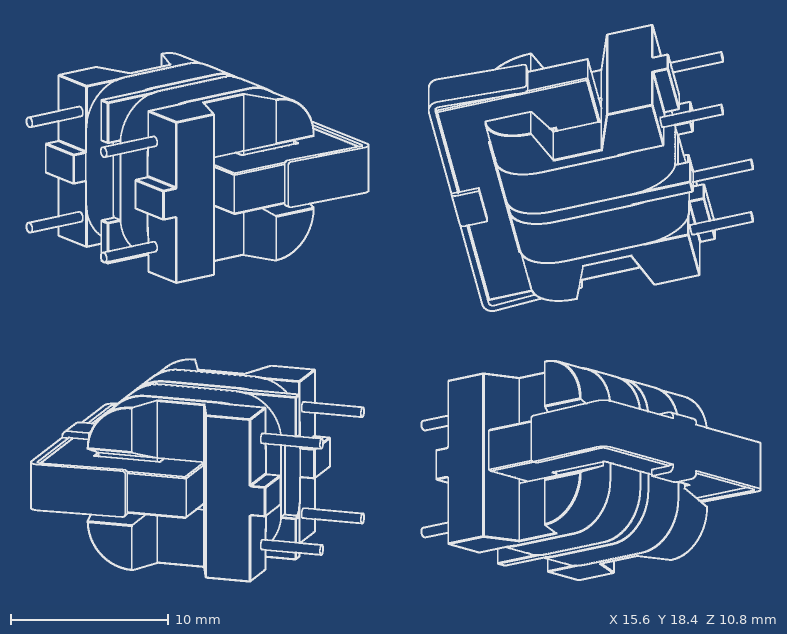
import cadquery as cq
import math


flange_half_height = 5.37
flange_half_depth = 5.52
flange_radius = 2.97
flange_inner_x = 3.3
flange_outer_x = 3.97
divider_half_width = 0.39

bore_half = 1.57
tube_wall = 0.3
tube_half = bore_half + tube_wall

wing_outer_x = 6.18
block_outer_x = 6.37
flare_end_y = 2.5
wing_mouth_half = 2.4
bobbin_chamfer = 0.05

foot_tip_y = -6.53
block_foot_half_height = 0.98
divider_foot_start_z = 2.64
pin_diameter = 0.65
pin_tip_y = -9.5
pin_x = 4.0
pin_z = 3.5

winding_half_height = 5.42
winding_radius = 3.03
winding_half_depth = 5.55

core_half_width = 7.07
core_half_height = 1.37
core_front_y = -1.44
core_back_y = 8.52
window_half_width = 4.02
window_front_y = 1.44
window_back_y = 5.68
core_chamfer = 0.1

clip_thickness = 0.42
clip_half_height = 1.51
clip_back_y = core_back_y + clip_thickness
clip_end_y = 2.49
clip_lean = math.tan(math.radians(2.9))
clip_bend_radius = 0.66
clip_gap = 0.04
arm_thickness = 0.39
arm_corner_radius = 0.22
arm_inner_x = core_half_width + clip_gap
tab_half_width = 1.13
tab_start_z = 1.55
tab_top_z = 1.97
tab_bend_radius = 0.39
tab_end_y = 7.14


def box(x_range, y_range, z_range):
    """Box spanning three (low, high) ranges."""
    lengths = [high - low for low, high in (x_range, y_range, z_range)]
    corner = (x_range[0], y_range[0], z_range[0])
    return cq.Workplane("XY").box(*lengths, centered=False).translate(corner)


def centred_bar(x_low, x_high, half_y, half_z):
    """Bar along X, centred on the winding axis."""
    return box((x_low, x_high), (-half_y, half_y), (-half_z, half_z))


def mirrored_pair(body):
    """Body together with its mirror image across the YZ plane."""
    return body.union(body.mirror("YZ"))



def make_plate(x_low, x_high):
    """Flange plate across the winding axis with four rounded corners."""
    plate = centred_bar(x_low, x_high, flange_half_depth, flange_half_height)
    return plate.edges("|X").fillet(flange_radius)


def make_pin_block():
    """Front block at +X that carries two pins, with a foot between them."""
    outline = [
        (flange_inner_x, -flange_half_depth),
        (block_outer_x, -flange_half_depth),
        (block_outer_x, -flare_end_y),
        (flange_outer_x, -bore_half),
        (flange_inner_x, -bore_half),
    ]
    block = cq.Workplane("XY").polyline(outline).close().extrude(flange_half_height, both=True)
    foot = box(
        (flange_inner_x, block_outer_x),
        (foot_tip_y, -flare_end_y),
        (-block_foot_half_height, block_foot_half_height),
    )
    return block.union(foot, clean=True).edges().chamfer(bobbin_chamfer)


def make_wing():
    """Rear wing at +X, rounded along its back and open in the middle for the core leg."""
    outline = [
        (flange_inner_x, bore_half),
        (flange_outer_x, bore_half),
        (wing_outer_x, flare_end_y),
        (wing_outer_x, flange_half_depth),
        (flange_inner_x, flange_half_depth),
    ]
    wing = cq.Workplane("XY").polyline(outline).close().extrude(flange_half_height, both=True)
    wing = wing.edges(">Y and |X").fillet(flange_radius)
    wing = wing.cut(make_wing_mouth())
    return wing.faces(">X").edges("not <Y").chamfer(bobbin_chamfer)


def make_end_frame():
    """End frame at +X: flange plate with its outer rim broken, pin block and wing."""
    plate = make_plate(flange_inner_x, flange_outer_x)
    plate = plate.faces(">X").edges().chamfer(bobbin_chamfer)
    return plate.union(make_pin_block()).union(make_wing())


def make_wing_mouth():
    """Passage for the core leg, flaring from the bore height at the flange to the wing end."""
    mouth = [
        (flange_outer_x, -bore_half),
        (wing_outer_x, -wing_mouth_half),
        (wing_outer_x, wing_mouth_half),
        (flange_outer_x, bore_half),
    ]
    return cq.Workplane("XZ").polyline(mouth).close().extrude(-2 * flange_half_depth)


def make_divider():
    """Middle flange that parts the windings, with a foot at its top and bottom."""
    foot = box(
        (-divider_half_width, divider_half_width),
        (foot_tip_y, 0),
        (divider_foot_start_z, flange_half_height),
    )
    foot = foot.edges().chamfer(bobbin_chamfer)
    plate = make_plate(-divider_half_width, divider_half_width)
    return plate.union(foot).union(foot.mirror("XY"))


def make_pins():
    """Four round pins standing out of the front of the pin blocks."""
    pin_places = [(x, z) for x in (-pin_x, pin_x) for z in (-pin_z, pin_z)]
    return (
        cq.Workplane("XZ", origin=(0, -flange_half_depth, 0))
        .pushPoints(pin_places)
        .circle(pin_diameter / 2)
        .extrude(-pin_tip_y - flange_half_depth)
    )


def make_bobbin():
    """Two end frames, tube and divider in one piece, bored for the core limb, with pins."""
    tube = centred_bar(-flange_inner_x, flange_inner_x, tube_half, tube_half)
    bore = centred_bar(-flange_outer_x, flange_outer_x, bore_half, bore_half)
    bobbin = mirrored_pair(make_end_frame()).union(tube).union(make_divider())
    return bobbin.cut(bore).union(make_pins())



def make_winding(side):
    """Winding between the divider and one end flange; side is -1 or 1."""
    x_low, x_high = sorted((side * divider_half_width, side * flange_inner_x))
    coil = centred_bar(x_low, x_high, winding_half_depth, winding_half_height)
    coil = coil.edges("|X").fillet(winding_radius)
    return coil.cut(centred_bar(x_low, x_high, tube_half, tube_half))



def make_core():
    """Closed rectangular ring whose front limb runs through the bobbin."""
    z_range = (-core_half_height, core_half_height)
    ring = box((-core_half_width, core_half_width), (core_front_y, core_back_y), z_range)
    window = box((-window_half_width, window_half_width), (window_front_y, window_back_y), z_range)
    ring = ring.cut(window)
    return ring.edges("|X or |Y").chamfer(core_chamfer)



def make_clip_prism(end_half_width, back_y, bend_radius):
    """Prism filling the clip outline: arms spreading toward the back, with round back corners."""
    back_half_width = end_half_width + (back_y - clip_end_y) * clip_lean
    outline = [
        (-end_half_width, clip_end_y),
        (end_half_width, clip_end_y),
        (back_half_width, back_y),
        (-back_half_width, back_y),
    ]
    prism = cq.Workplane("XY").polyline(outline).close().extrude(clip_half_height, both=True)
    return prism.edges("|Z and >Y").fillet(bend_radius)


def make_tab():
    """Lip folded forward over the top of the core from the middle of the clip back."""
    post = box(
        (-tab_half_width, tab_half_width),
        (core_back_y, clip_back_y),
        (0, tab_top_z),
    )
    lip = box(
        (-tab_half_width, tab_half_width),
        (tab_end_y, clip_back_y),
        (tab_start_z, tab_top_z),
    )
    return post.union(lip).edges(">Y and >Z").fillet(tab_bend_radius)


def make_clip():
    """Spring clip around the back of the core with rounded arm ends and two lips."""
    outer = make_clip_prism(arm_inner_x + arm_thickness, clip_back_y, clip_bend_radius)
    inner = make_clip_prism(arm_inner_x, core_back_y, clip_bend_radius - arm_thickness)
    clip = outer.cut(inner)
    clip = clip.faces("<Y").edges("|X").fillet(arm_corner_radius)
    tab = make_tab()
    return clip.union(tab).union(tab.mirror("XY"))


bobbin = make_bobbin()
windings = [make_winding(side) for side in (-1, 1)]
core = make_core()
clip = make_clip()

result = cq.Compound.makeCompound(
    [bobbin.val(), *[winding.val() for winding in windings], core.val(), clip.val()]
)